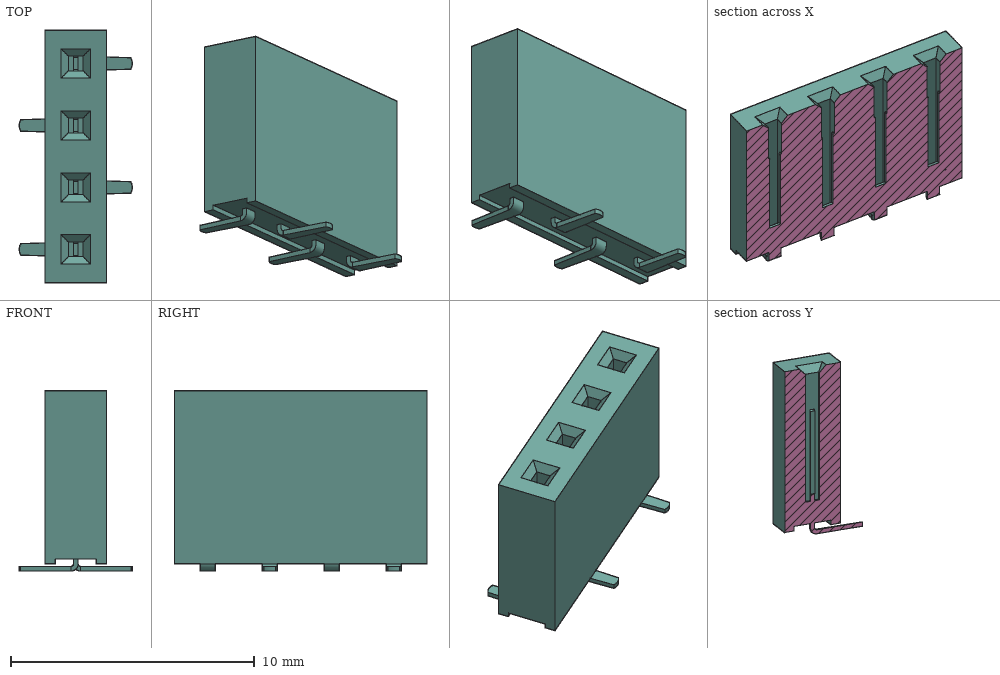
import cadquery as cq

pin_count = 4
pitch = 2.54
end_margin = 0.1
body_width = 2.54
body_length = pin_count * pitch + 2 * end_margin
overall_height = 7.4
standoff = 0.3
body_height = overall_height - standoff

channel_width = 1.66
channel_depth = 0.2
channel_top = standoff + channel_depth

mouth_size = 1.2
well_size = 0.6
lead_in_depth = (mouth_size - well_size) / 2
floor_thickness = 1.0
well_floor = channel_top + floor_thickness

metal_thickness = 0.2
contact_width = well_size
fork_gap = 0.49
fork_base_height = 0.3
prong_top = 5.5
prong_bevel = (contact_width - fork_gap) / 2

lead_reach = 2.32
foot_tip_bulge = 0.063
neck_width = 0.62
foot_root_width = 0.6
foot_tip_width = 0.48
bend_inner_radius = 0.1
bend_outer_radius = bend_inner_radius + metal_thickness
bend_x = metal_thickness / 2 + bend_inner_radius
bend_z = bend_outer_radius


def make_housing():
    """Rectangular housing with a channel running the length of its underside."""
    housing = cq.Workplane("XY").workplane(offset=standoff).box(
        body_width, body_length, body_height, centered=(True, True, False)
    )
    channel = cq.Workplane("XY").workplane(offset=standoff).box(
        channel_width, body_length, channel_depth, centered=(True, True, False)
    )
    return housing.cut(channel)


def make_socket(y):
    """Cavity of one socket: tapered mouth above a straight square well."""
    mouth = (
        cq.Workplane("XY", origin=(0, y, overall_height))
        .rect(mouth_size, mouth_size)
        .workplane(offset=-lead_in_depth)
        .rect(well_size, well_size)
        .loft(ruled=True)
    )
    well = cq.Workplane("XY", origin=(0, y, well_floor)).box(
        well_size, well_size, overall_height - lead_in_depth - well_floor, centered=(True, True, False)
    )
    return mouth.union(well)


def make_fork(y):
    """Flat two-pronged contact, with the prong tips bevelled inward."""
    half_width = contact_width / 2
    half_gap = fork_gap / 2
    fork_base = well_floor + fork_base_height
    return (
        cq.Workplane("YZ", origin=(0, y, 0))
        .moveTo(-half_width, well_floor)
        .lineTo(half_width, well_floor)
        .lineTo(half_width, prong_top)
        .lineTo(half_gap, prong_top - prong_bevel)
        .lineTo(half_gap, fork_base)
        .lineTo(-half_gap, fork_base)
        .lineTo(-half_gap, prong_top - prong_bevel)
        .lineTo(-half_width, prong_top)
        .close()
        .extrude(metal_thickness / 2, both=True)
    )


def make_lead(y, toward_plus_x):
    """Bent lead: a neck under the housing, a 90 degree bend and a tapered foot."""
    half_thickness = metal_thickness / 2
    bend_center = cq.Vector(bend_x, bend_z)
    diagonal = cq.Vector(-1, -1).normalized()
    inner_mid = bend_center + diagonal * bend_inner_radius
    outer_mid = bend_center + diagonal * bend_outer_radius
    side_profile = (
        cq.Workplane("XZ")
        .moveTo(-half_thickness, well_floor)
        .lineTo(-half_thickness, bend_z)
        .threePointArc((outer_mid.x, outer_mid.y), (bend_x, 0))
        .lineTo(lead_reach, 0)
        .lineTo(lead_reach, metal_thickness)
        .lineTo(bend_x, metal_thickness)
        .threePointArc((inner_mid.x, inner_mid.y), (half_thickness, bend_z))
        .lineTo(half_thickness, well_floor)
        .close()
        .extrude(neck_width / 2, both=True)
    )
    tip_start = lead_reach - foot_tip_bulge
    plan_outline = (
        cq.Workplane("XY")
        .moveTo(-half_thickness, -neck_width / 2)
        .lineTo(bend_x, -neck_width / 2)
        .lineTo(bend_x, -foot_root_width / 2)
        .lineTo(tip_start, -foot_tip_width / 2)
        .threePointArc((lead_reach, 0), (tip_start, foot_tip_width / 2))
        .lineTo(bend_x, foot_root_width / 2)
        .lineTo(bend_x, neck_width / 2)
        .lineTo(-half_thickness, neck_width / 2)
        .close()
        .extrude(well_floor)
    )
    lead = side_profile.intersect(plan_outline)
    if not toward_plus_x:
        lead = lead.mirror("YZ")
    return lead.translate((0, y, 0))


result = make_housing()
for index in range(pin_count):
    pin_y = (index - (pin_count - 1) / 2) * pitch
    result = result.cut(make_socket(pin_y))
    result = result.union(make_fork(pin_y))
    result = result.union(make_lead(pin_y, toward_plus_x=index % 2 == 1))